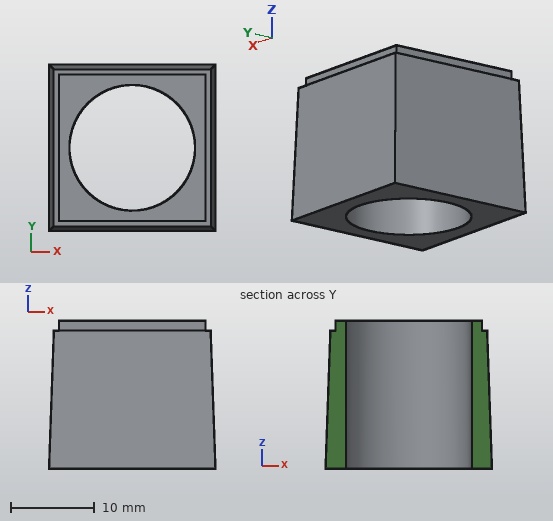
import cadquery as cq

base_side = 19.91
shoulder_side = 18.75
total_height = 17.7

cap_side = 17.5
cap_height = 1.2

bore_diameter = 15.0

body_height = total_height - cap_height

body = (
    cq.Workplane("XY")
    .rect(base_side, base_side)
    .workplane(offset=body_height)
    .rect(shoulder_side, shoulder_side)
    .loft(ruled=True)
)

cap = (
    cq.Workplane("XY")
    .workplane(offset=body_height)
    .rect(cap_side, cap_side)
    .extrude(cap_height)
)

bore = cq.Workplane("XY").circle(bore_diameter / 2).extrude(total_height)

result = body.union(cap).cut(bore)